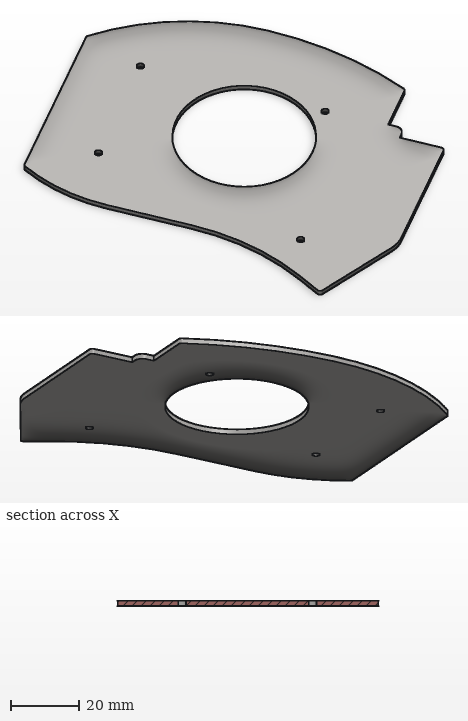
import cadquery as cq
import math

THICKNESS = 1.6
WIDTH = 114.03
DEPTH = 97.79
RIGHT_X = WIDTH / 2
LEFT_X = -RIGHT_X

CREST_X = -7.7
CREST_Y = 43.85
CREST_LEFT_RADIUS = 72.7
CREST_RIGHT_RADIUS = 107.0

NOTCH_X = 38.25
NOTCH_Y = 18.15
STEP_X = 43.2
STEP_Y = 14.05
STEP_RADIUS = 2.5

FLAT_Y = -40.0
FLAT_LEFT_X = -28.8
FLAT_RIGHT_X = -2.7
LOWER_LEFT_RADIUS = 55.0
LOWER_RIGHT_RADIUS = 73.4
RUN_ANGLE = math.radians(30)

CORNER_RADIUS = 1.0
SIDE_BLEND_RADIUS = 10.0

BORE_DIAMETER = 42.02
SCREW_DIAMETER = 2.2
SCREW_POINTS = [(-38.1, 17.9), (-38.1, -20.2), (19.05, 17.4), (29.4, -35.4)]


def point_below_top(top, radius, angle):
    """Point on an arc with its highest point at top, turned clockwise by angle."""
    x, y = top
    return (x + radius * math.sin(angle), y - radius * (1 - math.cos(angle)))


def point_above_bottom(bottom, radius, angle):
    """Point on an arc with its lowest point at bottom, turned clockwise by angle."""
    x, y = bottom
    return (x - radius * math.sin(angle), y + radius * (1 - math.cos(angle)))


def sharp_tip(run_start):
    """Square corner at the end of the straight run, before it is rounded."""
    rounding_lift = CORNER_RADIUS * (math.sin(RUN_ANGLE) + math.cos(RUN_ANGLE) - 1)
    tip_y = CREST_Y - DEPTH - rounding_lift
    tip_x = run_start[0] + (run_start[1] - tip_y) / math.tan(RUN_ANGLE)
    return (tip_x, tip_y)


def make_plate():
    crest = (CREST_X, CREST_Y)
    left_angle = math.asin((LEFT_X - CREST_X) / CREST_LEFT_RADIUS)
    notch_angle = math.asin((NOTCH_X - CREST_X) / CREST_RIGHT_RADIUS)
    upper_left = point_below_top(crest, CREST_LEFT_RADIUS, left_angle)
    upper_left_mid = point_below_top(crest, CREST_LEFT_RADIUS, left_angle / 2)
    notch_top = point_below_top(crest, CREST_RIGHT_RADIUS, notch_angle)
    notch_top_mid = point_below_top(crest, CREST_RIGHT_RADIUS, notch_angle / 2)

    flat_left = (FLAT_LEFT_X, FLAT_Y)
    flat_right = (FLAT_RIGHT_X, FLAT_Y)
    lower_angle = math.asin((FLAT_LEFT_X - LEFT_X) / LOWER_LEFT_RADIUS)
    lower_left = point_above_bottom(flat_left, LOWER_LEFT_RADIUS, lower_angle)
    lower_left_mid = point_above_bottom(flat_left, LOWER_LEFT_RADIUS, lower_angle / 2)
    run_start = point_below_top(flat_right, LOWER_RIGHT_RADIUS, RUN_ANGLE)
    run_start_mid = point_below_top(flat_right, LOWER_RIGHT_RADIUS, RUN_ANGLE / 2)

    tip = sharp_tip(run_start)
    side_corner = (RIGHT_X, tip[1] + (RIGHT_X - tip[0]) / math.tan(RUN_ANGLE))
    step_corner = (STEP_X, NOTCH_Y)
    right_top = (RIGHT_X, STEP_Y)

    plate = (
        cq.Workplane("XY")
        .moveTo(*upper_left)
        .threePointArc(upper_left_mid, crest)
        .threePointArc(notch_top_mid, notch_top)
        .lineTo(NOTCH_X, NOTCH_Y)
        .lineTo(*step_corner)
        .lineTo(STEP_X, STEP_Y)
        .lineTo(*right_top)
        .lineTo(*side_corner)
        .lineTo(*tip)
        .lineTo(*run_start)
        .threePointArc(run_start_mid, flat_right)
        .lineTo(*flat_left)
        .threePointArc(lower_left_mid, lower_left)
        .close()
        .extrude(THICKNESS)
    )

    roundings = [
        (notch_top, CORNER_RADIUS),
        (step_corner, STEP_RADIUS),
        (right_top, CORNER_RADIUS),
        (side_corner, SIDE_BLEND_RADIUS),
        (tip, CORNER_RADIUS),
        (lower_left, CORNER_RADIUS),
        (upper_left, CORNER_RADIUS),
    ]
    for corner, radius in roundings:
        plate = round_corner(plate, corner, radius)
    return plate


def round_corner(plate, corner, radius):
    """Round the vertical edge nearest to an outline corner."""
    mid_edge = (corner[0], corner[1], THICKNESS / 2)
    return plate.edges("|Z").edges(cq.selectors.NearestToPointSelector(mid_edge)).fillet(radius)


def cut_holes(plate):
    bore = cq.Workplane("XY").circle(BORE_DIAMETER / 2).extrude(THICKNESS)
    screws = cq.Workplane("XY").pushPoints(SCREW_POINTS).circle(SCREW_DIAMETER / 2).extrude(THICKNESS)
    return plate.cut(bore).cut(screws)


result = cut_holes(make_plate())